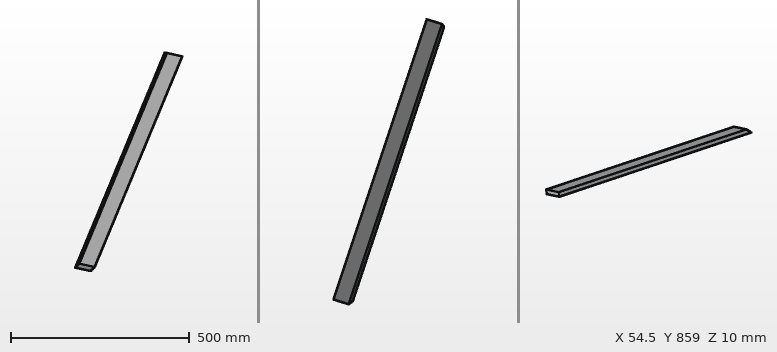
import cadquery as cq
import math

overall_width = 54.49
overall_length = 859.0
thickness = 10.0

slope_angle = 46.5

slope_run = thickness / math.tan(math.radians(slope_angle))

half_width = overall_width / 2
half_length = overall_length / 2
half_thickness = thickness / 2


def make_bar():
    """Parallelogram section leaning toward +X, running the full length along Y."""
    return (
        cq.Workplane("XZ")
        .moveTo(-half_width, -half_thickness)
        .lineTo(half_width - slope_run, -half_thickness)
        .lineTo(half_width, half_thickness)
        .lineTo(-half_width + slope_run, half_thickness)
        .close()
        .extrude(half_length, both=True)
    )


def make_end_envelope():
    """Trapezoidal prism along X whose ends slope inward toward the top face."""
    return (
        cq.Workplane("YZ")
        .moveTo(-half_length, -half_thickness)
        .lineTo(half_length, -half_thickness)
        .lineTo(half_length - slope_run, half_thickness)
        .lineTo(-half_length + slope_run, half_thickness)
        .close()
        .extrude(half_width, both=True)
    )


result = make_bar().intersect(make_end_envelope())